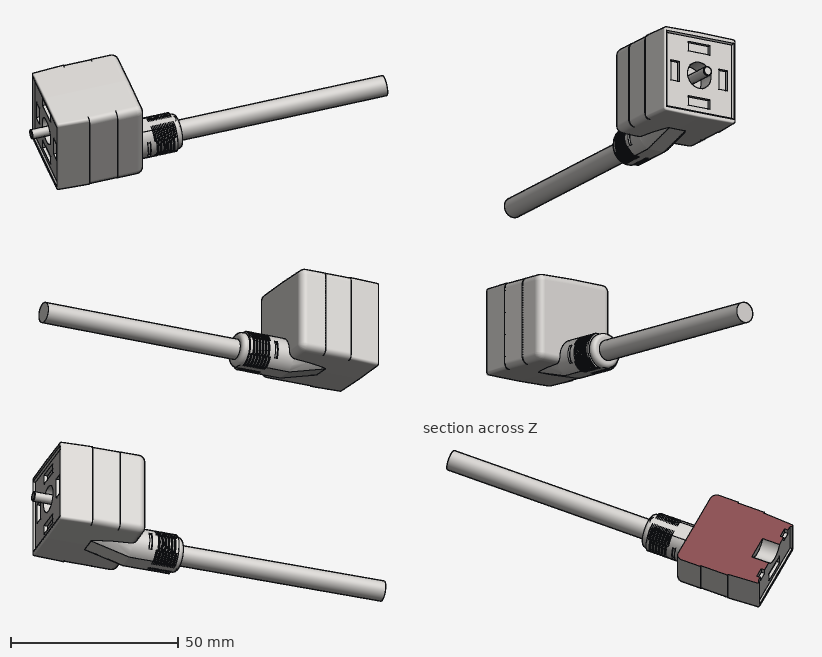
import cadquery as cq
import math


housing_length = 26.9
front_band_end = 9.9
middle_band_end = 18.5
front_width = 24.9
front_band_back_width = 26.1
middle_width = 26.8
rear_width = 27.4
housing_half_height = 13.2
crown_height = 0.2
flat_top_width = 23.1
back_edge_radius = 2.1
front_edge_radius = 0.4

recess_width = 23.5
recess_height = 24.0
recess_depth = 0.5
recess_wall_angle = 40
long_slot_offset = 8.5
short_slot_offset = 8.4
slot_width = 3.0
long_slot_length = 7.7
short_slot_length = 6.3
slot_depth = 1.1
socket_diameter = 8.2
socket_depth = 5.5
pin_diameter = 2.9
pin_overhang = 4.3
pin_chamfer = 0.2
pin_embedding = 1.1

outlet_z = -11.4
sleeve_diameter = 11.9
sleeve_flat = 5.2
sleeve_length = 15.1
collar_diameter = 10.7
collar_length = 2.0
collar_radius = 1.3
groove_floor_diameter = 10.7
corner_groove_count = 7
side_groove_count = 6
groove_pitch = 1.0
groove_width = 0.5
side_groove_height = 5.3
notch_width = 0.9
notch_distance = 4.2
ramp_start = 25.3
ramp_end = 13.1

cable_diameter = 6.2
total_length = 111.0

sleeve_end = housing_length + sleeve_length
cable_end = total_length - pin_overhang
crown_z = housing_half_height + crown_height


def section_at(y):
    """Work plane across Y, with its normal toward +Y, local x toward +X and local y toward -Z."""
    return cq.Workplane(cq.Plane(origin=(0, y, 0), xDir=(1, 0, 0), normal=(0, 1, 0)))


def crowned_bar():
    """Bar along Y whose top and bottom rise to a low ridge over X = 0."""
    side = rear_width / 2
    h = housing_half_height
    outline = [(side, -h), (side, h), (0, crown_z), (-side, h), (-side, -h), (0, -crown_z)]
    return section_at(0).polyline(outline).close().extrude(housing_length)


def housing_band(y_start, y_end, start_width, end_width):
    """One housing band with its four long corners rounded."""
    plan = [
        (-start_width / 2, y_start), (start_width / 2, y_start),
        (end_width / 2, y_end), (-end_width / 2, y_end),
    ]
    block = cq.Workplane("XY").polyline(plan).close().extrude(rear_width, both=True)
    band = block.intersect(crowned_bar())
    corner_radius = (min(start_width, end_width) - flat_top_width) / 2
    middle = (y_start + y_end) / 2
    for x in (-rear_width, rear_width):
        for z in (-rear_width, rear_width):
            corner = cq.selectors.NearestToPointSelector((x, middle, z))
            band = band.edges(corner).fillet(corner_radius)
    return band


def housing():
    front = housing_band(0, front_band_end, front_width, front_band_back_width)
    front = front.faces("<Y").edges().fillet(front_edge_radius)
    middle = housing_band(front_band_end, middle_band_end, middle_width, middle_width)
    rear = housing_band(middle_band_end, housing_length, rear_width, rear_width)
    rear = rear.faces(">Y").edges().fillet(back_edge_radius)
    return front.union(middle).union(rear).clean()


def face_recess():
    mouth = section_at(0).rect(recess_width, recess_height)
    return mouth.extrude(recess_depth, taper=recess_wall_angle)


def contact_slots():
    depth = recess_depth + slot_depth
    face = section_at(0)
    level = face.pushPoints([(0, long_slot_offset), (0, -long_slot_offset)])
    level = level.rect(long_slot_length, slot_width).extrude(depth)
    upright = face.pushPoints([(short_slot_offset, 0), (-short_slot_offset, 0)])
    upright = upright.rect(slot_width, short_slot_length).extrude(depth)
    return level.union(upright)


def socket():
    return section_at(0).circle(socket_diameter / 2).extrude(recess_depth + socket_depth)


def pin():
    length = pin_overhang + recess_depth + socket_depth + pin_embedding
    body = section_at(-pin_overhang).circle(pin_diameter / 2).extrude(length)
    return body.faces("<Y").chamfer(pin_chamfer)


def outlet_cylinder(y_start, y_end, diameter):
    return section_at(y_start).center(0, -outlet_z).circle(diameter / 2).extrude(y_end - y_start)


def groove_ring(y_start, width):
    """Ring that cuts a groove down to the groove floor all around the sleeve."""
    outer = outlet_cylinder(y_start, y_start + width, 2 * sleeve_diameter)
    return outer.cut(outlet_cylinder(y_start, y_start + width, groove_floor_diameter))


def outlet_slab(height):
    """Wide slab of the given height, centred on the outlet axis."""
    slab = cq.Workplane("XY").box(2 * sleeve_diameter, 2 * total_length, height)
    return slab.translate((0, 0, outlet_z))


def sleeve_outline(work, axis_z):
    """Circle with flats above and below, centred at the given height."""
    flat_end = math.sqrt((sleeve_diameter / 2) ** 2 - sleeve_flat ** 2)
    side = sleeve_diameter / 2
    low = -axis_z + sleeve_flat
    high = -axis_z - sleeve_flat
    return (
        work.moveTo(-flat_end, high).lineTo(flat_end, high)
        .threePointArc((side, -axis_z), (flat_end, low)).lineTo(-flat_end, low)
        .threePointArc((-side, -axis_z), (-flat_end, high)).close()
    )


def sleeve():
    """Round sleeve with flats above and below, staggered grip grooves and a notch on each side."""
    barrel_end = sleeve_end - collar_length
    barrel = outlet_cylinder(ramp_start, barrel_end, sleeve_diameter)
    side_zone = outlet_slab(side_groove_height)

    for i in range(1, corner_groove_count + 1):
        groove_start = barrel_end - i * groove_pitch
        barrel = barrel.cut(groove_ring(groove_start, groove_width).cut(side_zone))

    for i in range(1, side_groove_count + 1):
        groove_start = barrel_end - i * groove_pitch - groove_width
        barrel = barrel.cut(groove_ring(groove_start, groove_width).intersect(side_zone))

    notch_start = housing_length + notch_distance - notch_width / 2
    barrel = barrel.cut(groove_ring(notch_start, notch_width).intersect(side_zone))

    collar = outlet_cylinder(barrel_end, sleeve_end, collar_diameter)
    collar = collar.faces(">Y").edges().fillet(collar_radius)
    return barrel.union(collar).intersect(outlet_slab(2 * sleeve_flat))


def sleeve_ramp():
    """Slanted continuation of the sleeve that rises into the underside of the housing."""
    rise = sleeve_flat - outlet_z - crown_z
    start = sleeve_outline(section_at(ramp_start), outlet_z)
    end_work = start.workplane(offset=ramp_end - ramp_start)
    return sleeve_outline(end_work, outlet_z + rise).loft(ruled=True)


def cable():
    return outlet_cylinder(housing_length, cable_end, cable_diameter)


result = housing().union(sleeve()).union(sleeve_ramp()).union(cable())
result = result.cut(face_recess()).cut(contact_slots()).cut(socket()).union(pin())